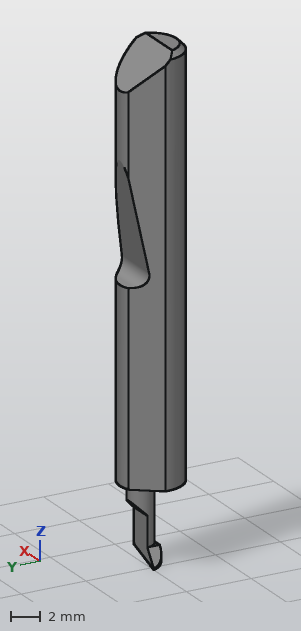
import cadquery as cq
import math

total_length = 38.1
head_reach = 6.4
shank_top = total_length - head_reach
shank_radius = 2.38

end_chamfer = 0.42
bevel_drop = 3.0

flat_distance = 2.02
flat_angle = 143.5

notch_top = 23.62
notch_bottom = 14.6
notch_slope = 9.5
notch_fillet = 0.95

neck_radius = 0.95
neck_x = shank_radius - neck_radius
neck_cut_start = 1.83

head_top = -5.05
tip_x = -0.42
tip_land = 0.1
end_slope = 0.33
end_relief_slope = 0.16
nose_front_x = 0.285

oversize = 15.25


def make_shank():
    """Round bar with a chamfered, bevelled upper end."""
    shank = cq.Workplane("XY").circle(shank_radius).extrude(shank_top)
    shank = shank.faces(">Z").edges().chamfer(end_chamfer)
    bevel_start = shank_top - bevel_drop
    bevel = (
        cq.Workplane("YZ")
        .moveTo(shank_radius, bevel_start)
        .lineTo(shank_radius - oversize, bevel_start + oversize)
        .lineTo(shank_radius, bevel_start + oversize)
        .close()
        .extrude(shank_radius, both=True)
    )
    return shank.cut(bevel)


def make_flat_cutter():
    """Block removing a lengthwise flat on the -X, +Y side."""
    return (
        cq.Workplane("XY")
        .box(oversize, oversize, shank_top, centered=(False, True, False))
        .translate((flat_distance, 0, 0))
        .rotate((0, 0, 0), (0, 0, 1), flat_angle)
    )


def make_notch_cutter():
    """Clamping notch: a long ramp and a short wall at right angles, with a round root."""
    slope = math.radians(notch_slope)
    span = notch_top - notch_bottom
    ramp_length = span * math.cos(slope)
    root_y = shank_radius - ramp_length * math.sin(slope)
    root_z = notch_top - ramp_length * math.cos(slope)
    return (
        cq.Workplane("YZ")
        .moveTo(shank_radius, notch_top)
        .lineTo(root_y, root_z)
        .lineTo(shank_radius, notch_bottom)
        .close()
        .extrude(shank_radius, both=True)
        .edges(cq.selectors.NearestToPointSelector((0, root_y, root_z)))
        .fillet(notch_fillet)
    )


def make_neck_and_head():
    """Half-round neck running into a hooked cutting head with its rake face at Y = 0."""
    neck_plan = cq.Workplane("XY").center(neck_x, 0).circle(neck_radius).extrude(-head_reach)
    rake_cut = (
        cq.Workplane("YZ")
        .moveTo(0, -head_reach)
        .lineTo(0, -neck_cut_start - neck_radius)
        .lineTo(neck_radius, -neck_cut_start)
        .lineTo(neck_radius, -head_reach)
        .close()
        .extrude(shank_radius + neck_radius)
    )
    neck = neck_plan.cut(rake_cut)

    front_run = nose_front_x - tip_x
    nose_radius = (front_run**2 + neck_radius**2) / (2 * front_run)
    nose_centre_x = tip_x + nose_radius
    mid_angle = math.asin(neck_radius / nose_radius) / 2
    nose_mid = (nose_centre_x - nose_radius * math.cos(mid_angle), -nose_radius * math.sin(mid_angle))
    head_plan = (
        cq.Workplane("XY")
        .moveTo(tip_x, 0)
        .threePointArc(nose_mid, (nose_front_x, -neck_radius))
        .lineTo(neck_x, -neck_radius)
        .lineTo(neck_x, 0)
        .close()
        .extrude(-head_reach)
    )
    hook_profile = (
        cq.Workplane("XZ")
        .moveTo(neck_x - neck_radius, head_top)
        .lineTo(tip_x, tip_land - head_reach)
        .lineTo(tip_x, -head_reach)
        .lineTo(neck_x, -head_reach)
        .lineTo(neck_x, head_top)
        .close()
        .extrude(neck_radius)
    )
    hook = head_plan.intersect(hook_profile)

    end_plane = cq.Plane(
        origin=(tip_x, 0, -head_reach),
        xDir=(1, 0, end_slope),
        normal=(-end_slope, end_relief_slope, 1),
    )
    end_cut = cq.Workplane(end_plane).rect(oversize, oversize).extrude(-oversize)
    return neck.union(hook).cut(end_cut)


shank = make_shank().cut(make_flat_cutter()).cut(make_notch_cutter())
result = shank.union(make_neck_and_head())